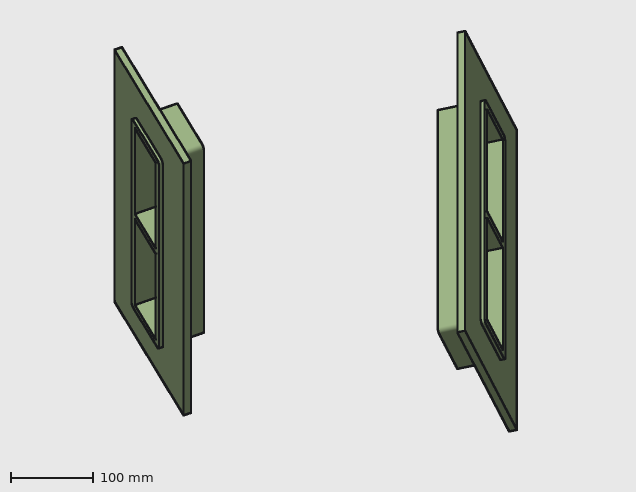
import cadquery as cq

wall = 10.0
cell_width = 60.5
cell_height = 159.5
cell_count = 2
duct_depth = 60.0
duct_corner_radius = 6.0
front_projection = 5.0

duct_width = cell_width + 2 * wall
duct_height = cell_count * cell_height + (cell_count + 1) * wall
cell_pitch = cell_height + wall

flange_margin = 60.0
plate_thickness = 10.0
plate_width = duct_width + 2 * flange_margin
plate_height = duct_height + 2 * flange_margin


def block(width, depth, height, front_y):
    """Box centred in X and Z whose -Y face lies at front_y."""
    box = cq.Workplane("XY").box(width, depth, height, centered=(True, False, True))
    return box.translate((0, front_y, 0))


def make_plate():
    return block(plate_width, plate_thickness, plate_height, front_projection)


def make_duct_body():
    body = block(duct_width, duct_depth, duct_height, 0)
    return body.edges("|Y").fillet(duct_corner_radius)


def cut_cells(body):
    """Open the rectangular cells right through, stacked along Z."""
    for index in range(cell_count):
        centre_z = (index - (cell_count - 1) / 2) * cell_pitch
        cell = block(cell_width, duct_depth, cell_height, 0)
        body = body.cut(cell.translate((0, 0, centre_z)))
    return body


result = cut_cells(make_plate().union(make_duct_body()))